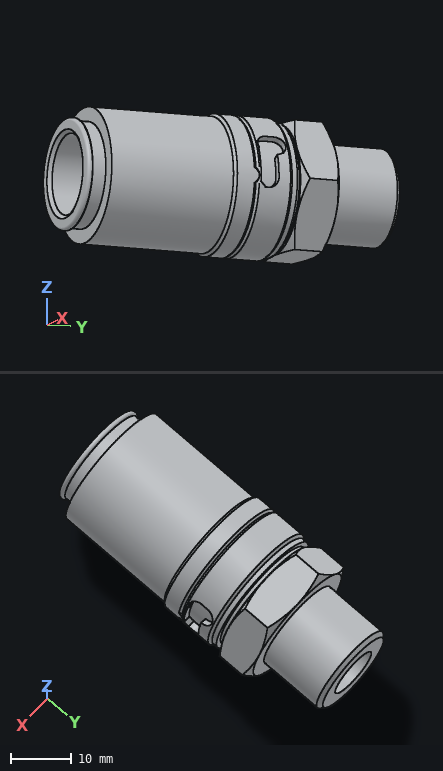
import cadquery as cq
import math

arc_middle = math.sqrt(0.5)

overall_length = 57.5
bead_crest = 0.6
sleeve_start = 3.5
collar_start = 26.1
groove_center = 29.65
collar_end = 35.75
sleeve_end = 37.2
hex_start = 38.0
hex_end = 45.0

bead_diameter = 19.0
nose_diameter = 18.0
sleeve_diameter = 23.0
collar_diameter = 24.0
neck_diameter = 21.0
shank_diameter = 16.7

collar_chamfer = (collar_diameter - sleeve_diameter) / 2
groove_depth = 0.4
groove_half_width = 0.45
shank_chamfer = 0.75

hex_across_flats = 22.0
hex_across_corners = hex_across_flats / math.cos(math.radians(30))
hex_chamfer_angle = 30.0

socket_diameter = 13.7
socket_mouth_diameter = 15.0
socket_mouth_length = 0.65
socket_depth = 26.0
passage_diameter = 9.0

slot_floor_diameter = 21.4
slot_corner_radius = 1.8
seat_angle = 27.6
seat_start = 30.4
seat_end = 35.42
arm_width = 3.25
arm_end_z = -1.9
arm_ramp = 0.9

pin_diameter = 3.0
pin_center_y = 28.6
pin_embedment = 1.0


def revolve_about_y(profile):
    return profile.close().revolve(360, (0, 0, 0), (0, 1, 0))


def axial_cylinder(diameter):
    return cq.Workplane("XZ").circle(diameter / 2).extrude(-overall_length)


def turned_body():
    """Outside of every round portion, socket end to shank end."""
    bead_r = bead_diameter / 2
    nose_r = nose_diameter / 2
    sleeve_r = sleeve_diameter / 2
    collar_r = collar_diameter / 2
    neck_r = neck_diameter / 2
    shank_r = shank_diameter / 2
    bead_height = bead_r - nose_r
    profile = (
        cq.Workplane("XY")
        .lineTo(nose_r, 0)
        .threePointArc(
            (nose_r + bead_height * arc_middle, bead_crest * (1 - arc_middle)),
            (bead_r, bead_crest),
        )
        .threePointArc(
            (nose_r + bead_height * arc_middle, bead_crest + bead_height * arc_middle),
            (nose_r, bead_crest + bead_height),
        )
        .lineTo(nose_r, sleeve_start)
        .lineTo(sleeve_r, sleeve_start)
        .lineTo(sleeve_r, collar_start - collar_chamfer)
        .lineTo(collar_r, collar_start)
        .lineTo(collar_r, groove_center - groove_half_width)
        .lineTo(collar_r - groove_depth, groove_center)
        .lineTo(collar_r, groove_center + groove_half_width)
        .lineTo(collar_r, collar_end)
        .lineTo(sleeve_r, collar_end + collar_chamfer)
        .lineTo(sleeve_r, sleeve_end)
        .lineTo(neck_r, sleeve_end)
        .lineTo(neck_r, hex_start)
        .lineTo(shank_r, hex_start)
        .lineTo(shank_r, overall_length - shank_chamfer)
        .lineTo(shank_r - shank_chamfer, overall_length)
        .lineTo(0, overall_length)
    )
    return revolve_about_y(profile)


def hexagon():
    """Wrench hexagon with corners on +X and -X, both ends turned to a cone."""
    face_r = hex_across_flats / 2
    corner_r = hex_across_corners / 2
    cone_length = (corner_r - face_r) * math.tan(math.radians(hex_chamfer_angle))
    prism = (
        cq.Workplane("XZ", origin=(0, hex_start, 0))
        .polygon(6, hex_across_corners)
        .extrude(hex_start - hex_end)
    )
    envelope = revolve_about_y(
        cq.Workplane("XY")
        .moveTo(0, hex_start)
        .lineTo(face_r, hex_start)
        .lineTo(corner_r, hex_start + cone_length)
        .lineTo(corner_r, hex_end - cone_length)
        .lineTo(face_r, hex_end)
        .lineTo(0, hex_end)
    )
    return prism.intersect(envelope)


def bore():
    """Socket with a tapered mouth, then a smaller passage through the shank."""
    socket_r = socket_diameter / 2
    passage_r = passage_diameter / 2
    return revolve_about_y(
        cq.Workplane("XY")
        .lineTo(socket_mouth_diameter / 2, 0)
        .lineTo(socket_r, socket_mouth_length)
        .lineTo(socket_r, socket_depth)
        .lineTo(passage_r, socket_depth)
        .lineTo(passage_r, overall_length)
        .lineTo(0, overall_length)
    )


def slot_seat():
    """Axial obround cut radially, at the seat angle above +X."""
    return (
        cq.Workplane("YZ")
        .center((seat_start + seat_end) / 2, 0)
        .slot2D(seat_end - seat_start, 2 * slot_corner_radius)
        .extrude(collar_diameter)
        .rotate((0, 0, 0), (0, 1, 0), -seat_angle)
    )


def slot_arm():
    """Arm from the seat around +X, closed by one rounded and one ramped corner."""
    arm_high = seat_start + arm_width
    seat_z = slot_floor_diameter / 2 * math.sin(math.radians(seat_angle))
    corner_y = arm_high - slot_corner_radius
    corner_z = arm_end_z + slot_corner_radius
    diagonal = slot_corner_radius * arc_middle
    return (
        cq.Workplane("YZ")
        .moveTo(seat_start, arm_end_z + arm_ramp)
        .lineTo(seat_start, seat_z)
        .lineTo(arm_high, seat_z)
        .lineTo(arm_high, corner_z)
        .threePointArc((corner_y + diagonal, corner_z - diagonal), (corner_y, arm_end_z))
        .lineTo(seat_start + arm_ramp, arm_end_z)
        .close()
        .extrude(collar_diameter)
    )


def bayonet_slot():
    """L-shaped slot on +X with a round floor concentric with the collar."""
    return slot_seat().union(slot_arm()).cut(axial_cylinder(slot_floor_diameter))


def locking_pin():
    """Pin along +X, trimmed to the round surface of the collar."""
    pin = (
        cq.Workplane("YZ", origin=(slot_floor_diameter / 2 - pin_embedment, 0, 0))
        .center(pin_center_y, 0)
        .circle(pin_diameter / 2)
        .extrude(collar_diameter)
    )
    return pin.intersect(axial_cylinder(collar_diameter))


result = turned_body().union(hexagon()).cut(bore()).cut(bayonet_slot()).union(locking_pin())